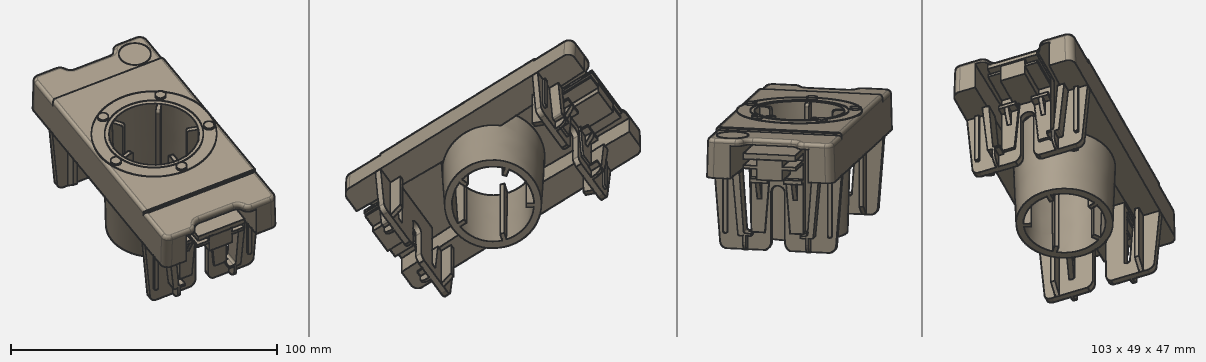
import cadquery as cq
import math

LENGTH = 103.0
WIDTH = 49.0
HEIGHT = 47.0

BODY_BOTTOM = 29.9
END_TOP = 44.9
DECK_TOP = 46.0
DECK_HALF_LENGTH = 35.6
DECK_CORNER_X = 1.2
DECK_CORNER_Y = 2.1
DRAFT_ANGLE = 1.6
CORNER_RADIUS = 3.0
EDGE_RADIUS = 1.4
DECK_END_CHAMFER = 0.4

NOTCH_DEPTH = 3.9
NOTCH_HALF_MOUTH = 13.2
NOTCH_HALF_FLOOR = 7.4
CHANNEL_HALF_MOUTH = 15.0
CHANNEL_TOP = 42.4

TUBE_RADIUS_FOOT = 18.1
TUBE_RADIUS_BODY = 19.1
BORE_RADIUS_FOOT = 15.3
BORE_RADIUS_TOP = 16.9
RING_DIAMETER = 47.0
RING_INNER_DIAMETER = 37.0
RING_TOP = 46.2
PIN_COUNT = 5
PIN_DIAMETER = 4.0
PIN_CIRCLE_RADIUS = 21.0
RIB_TIP_RADIUS = 12.5
RIB_WIDTH = 1.6
RIB_ROUND = 1.0

LABEL_DIAMETER = 12.0
LABEL_X = -43.1
LABEL_Y = 16.0
LABEL_DEPTH = 0.1

PLATE_OUTER_X = -36.7
PLATE_INNER_X = -34.3
LEG_OUTER_X = -40.7
LEG_INNER_X = -29.9
LEG_HALF_TOP = 24.4
LEG_HALF_FOOT = 22.0
LEG_CORNER_RADIUS = 2.8
ARCH_HALF_WIDTH = 2.7
ARCH_TOP = 24.8
ARCH_FLARE = 2.1
ARCH_FLARE_HEIGHT = 3.3
BEAD_OUTER_X = -37.6
BEAD_Y = 20.1
BEAD_WIDTH = 1.6
BEAD_BOTTOM = 6.0
INNER_RIB_Y = 17.0
INNER_RIB_WIDTH = 1.6
INNER_RIB_CHAMFER = 3.9
FIN_Y = 12.0
FIN_WIDTH = 1.0
FIN_RADIUS = 3.5

LATCH_HALF_WIDTH = 10.0
SLOT_BOTTOM = 6.9
SLOT_HALF_TOP = 13.9
SLOT_HALF_BOTTOM = 12.3
SLOT_ROUND = 1.0
GUIDE_HALF_TOP = 16.6
GUIDE_HALF_BOTTOM = 14.4
GUIDE_BOTTOM = 6.0
GUIDE_INNER_Y = 9.5
GUIDE_ROUND = 0.6

LATCH_TOP = 39.9
HEAD_BOTTOM = 37.7
PAD_OUTER_X = -37.6
PAD_HALF_TOP = 3.0
PAD_HALF_BOTTOM = 4.8
BLOCK_OUTER_X = -51.0
BLOCK_HALF_WIDTH = 4.9
FINGER_TOP = 35.2
FINGER_BOTTOM = 34.0
SHELF_TOP = 28.0
SHELF_BOTTOM = 26.5
SHELF_INNER_Y = 3.2
GUSSET_Y = 6.9
GUSSET_WIDTH = 1.6
GUSSET_BOTTOM = 19.8


def box(x0, x1, y0, y1, z0, z1):
    """Axis-aligned block between the given limits."""
    return cq.Workplane("XY").box(x1 - x0, y1 - y0, z1 - z0, centered=False).translate((x0, y0, z0))


def disc(diameter, z0, z1):
    """Upright round disc on the Z axis."""
    return cq.Workplane("XY", origin=(0, 0, z0)).circle(diameter / 2).extrude(z1 - z0)


def plate(outline, x0, x1):
    """Turn a closed (Y, Z) outline into a plate between two X positions."""
    return outline.extrude(x1 - x0).translate((x0, 0, 0))


def polygon_plate(points, x0, x1):
    """Plate between two X positions from straight-sided (Y, Z) points."""
    return plate(cq.Workplane("YZ").polyline(points).close(), x0, x1)


def web(points, y, width):
    """Turn a closed (X, Z) outline into an upright web centred on y."""
    outline = cq.Workplane("XZ", origin=(0, y, 0)).polyline(points).close()
    return outline.extrude(width / 2, both=True)


def both_sides(shape):
    """Add the mirror image across the XZ plane."""
    return shape.union(shape.mirror("XZ"))


def both_ends(shape):
    """Add the mirror image across the YZ plane."""
    return shape.union(shape.mirror("YZ"))


def drafted_block(top):
    """Block with drafted long sides and rounded upright corners."""
    half_bottom = WIDTH / 2
    half_top = half_bottom - (top - BODY_BOTTOM) * math.tan(math.radians(DRAFT_ANGLE))
    section = [(-half_bottom, BODY_BOTTOM), (half_bottom, BODY_BOTTOM), (half_top, top), (-half_top, top)]
    block = polygon_plate(section, -LENGTH / 2, LENGTH / 2)
    return block.edges("not(|X or |Y)").fillet(CORNER_RADIUS)


def end_notch():
    """Notch at the -X end; each flank is an S of two equal arcs."""
    mouth_x = -LENGTH / 2
    floor_x = mouth_x + NOTCH_DEPTH
    mid_x = (mouth_x + floor_x) / 2
    mid_y = (NOTCH_HALF_MOUTH + NOTCH_HALF_FLOOR) / 2
    flank_run = NOTCH_HALF_MOUTH - NOTCH_HALF_FLOOR
    radius = (NOTCH_DEPTH**2 + flank_run**2) / (4 * NOTCH_DEPTH)
    outline = (
        cq.Workplane("XY", origin=(0, 0, BODY_BOTTOM))
        .moveTo(mouth_x, NOTCH_HALF_MOUTH)
        .radiusArc((mid_x, mid_y), -radius)
        .radiusArc((floor_x, NOTCH_HALF_FLOOR), radius)
        .lineTo(floor_x, -NOTCH_HALF_FLOOR)
        .radiusArc((mid_x, -mid_y), radius)
        .radiusArc((mouth_x, -NOTCH_HALF_MOUTH), -radius)
        .close()
    )
    return outline.extrude(END_TOP - BODY_BOTTOM)


def end_channel():
    """Open pocket under the top plate, from the -X end to the middle, narrowing inwards."""
    mouth_x = -LENGTH / 2
    half_waist = CHANNEL_HALF_MOUTH - LENGTH / 2 * math.tan(math.radians(DRAFT_ANGLE))
    points = [
        (mouth_x, -CHANNEL_HALF_MOUTH),
        (0, -half_waist),
        (0, half_waist),
        (mouth_x, CHANNEL_HALF_MOUTH),
    ]
    outline = cq.Workplane("XY", origin=(0, 0, BODY_BOTTOM)).polyline(points).close()
    return outline.extrude(CHANNEL_TOP - BODY_BOTTOM)


base = drafted_block(END_TOP).cut(both_ends(end_notch()))
base = base.faces(">Z").edges().fillet(EDGE_RADIUS)
deck_outline = box(-DECK_HALF_LENGTH, DECK_HALF_LENGTH, -WIDTH / 2, WIDTH / 2, BODY_BOTTOM, DECK_TOP)
deck_outline = deck_outline.edges("|Z").chamfer(DECK_CORNER_Y, DECK_CORNER_X)
deck_outline = deck_outline.faces(">Z").edges("|Y").chamfer(DECK_END_CHAMFER)
deck = drafted_block(DECK_TOP).faces(">Z").edges().fillet(EDGE_RADIUS).intersect(deck_outline)
label = disc(LABEL_DIAMETER, END_TOP - LABEL_DEPTH, END_TOP).translate((LABEL_X, LABEL_Y, 0))
body = base.union(deck).cut(both_ends(end_channel())).cut(label)


def cone(radius_foot, radius_top, top):
    """Solid cone frustum on the Z axis, standing on Z = 0."""
    section = [(0, 0), (radius_foot, 0), (radius_top, top), (0, top)]
    return cq.Workplane("XZ").polyline(section).close().revolve(360, (0, 0, 0), (0, 1, 0))


tube_slope = (TUBE_RADIUS_BODY - TUBE_RADIUS_FOOT) / BODY_BOTTOM
tube = cone(TUBE_RADIUS_FOOT, TUBE_RADIUS_FOOT + tube_slope * CHANNEL_TOP, CHANNEL_TOP)
bore = cone(BORE_RADIUS_FOOT, BORE_RADIUS_TOP, DECK_TOP)
ring_bottom = DECK_TOP - EDGE_RADIUS
ring = disc(RING_DIAMETER, ring_bottom, RING_TOP)
ring_recess = disc(RING_INNER_DIAMETER, DECK_TOP, HEIGHT)

rib_root = (TUBE_RADIUS_FOOT + BORE_RADIUS_FOOT) / 2
rib = box(RIB_TIP_RADIUS, rib_root, -RIB_WIDTH / 2, RIB_WIDTH / 2, 0, DECK_TOP)
rib = rib.edges("|Y and <X and >Z").fillet(RIB_ROUND)
pin = disc(PIN_DIAMETER, DECK_TOP, HEIGHT).translate((PIN_CIRCLE_RADIUS, 0, 0))

result = body.union(tube).union(ring).cut(ring_recess).cut(bore)
for index in range(PIN_COUNT):
    angle = index * 360 / PIN_COUNT
    for item in (rib, pin):
        result = result.union(item.rotate((0, 0, 0), (0, 0, 1), angle))


def leg_plate():
    """Tapered plate with rounded lower corners and a central arch."""
    outline = [
        (-LEG_HALF_TOP, BODY_BOTTOM),
        (LEG_HALF_TOP, BODY_BOTTOM),
        (LEG_HALF_FOOT, 0),
        (-LEG_HALF_FOOT, 0),
    ]
    panel = polygon_plate(outline, PLATE_OUTER_X, PLATE_INNER_X)
    panel = panel.edges("|X and <Z").fillet(LEG_CORNER_RADIUS)
    return panel.cut(leg_arch())


def leg_arch():
    """Opening in the middle of the plate, round at the top and flared at the foot."""
    spring = ARCH_TOP - ARCH_HALF_WIDTH
    flare_radius = (ARCH_FLARE**2 + ARCH_FLARE_HEIGHT**2) / (2 * ARCH_FLARE)
    foot_y = ARCH_HALF_WIDTH + ARCH_FLARE
    arch = (
        cq.Workplane("YZ")
        .moveTo(-foot_y, 0)
        .lineTo(foot_y, 0)
        .radiusArc((ARCH_HALF_WIDTH, ARCH_FLARE_HEIGHT), flare_radius)
        .lineTo(ARCH_HALF_WIDTH, spring)
        .threePointArc((0, ARCH_TOP), (-ARCH_HALF_WIDTH, spring))
        .lineTo(-ARCH_HALF_WIDTH, ARCH_FLARE_HEIGHT)
        .radiusArc((-foot_y, 0), flare_radius)
        .close()
    )
    return plate(arch, PLATE_OUTER_X, PLATE_INNER_X)


def latch_slot(rounded_corners):
    """Slot on the +Y side of the latch, narrowing down to an end with the selected corners rounded."""
    points = [
        (LATCH_HALF_WIDTH, BODY_BOTTOM),
        (SLOT_HALF_TOP, BODY_BOTTOM),
        (SLOT_HALF_BOTTOM, SLOT_BOTTOM),
        (LATCH_HALF_WIDTH, SLOT_BOTTOM),
    ]
    slot = polygon_plate(points, LEG_OUTER_X, PLATE_INNER_X)
    return slot.edges("|X").edges("<Z").edges(rounded_corners).fillet(SLOT_ROUND)


def outer_bead():
    """Low upright bead on the outside of the plate, with a round lower end."""
    radius = BEAD_WIDTH / 2
    outline = (
        cq.Workplane("YZ")
        .moveTo(BEAD_Y - radius, BODY_BOTTOM)
        .lineTo(BEAD_Y - radius, BEAD_BOTTOM + radius)
        .threePointArc((BEAD_Y, BEAD_BOTTOM), (BEAD_Y + radius, BEAD_BOTTOM + radius))
        .lineTo(BEAD_Y + radius, BODY_BOTTOM)
        .close()
    )
    return plate(outline, BEAD_OUTER_X, PLATE_OUTER_X)


def guide_rib():
    """Slanted rib along the slot, closing under its lower end."""
    points = [
        (LATCH_HALF_WIDTH, BODY_BOTTOM),
        (GUIDE_HALF_TOP, BODY_BOTTOM),
        (GUIDE_HALF_BOTTOM, GUIDE_BOTTOM),
        (GUIDE_INNER_Y, GUIDE_BOTTOM),
        (GUIDE_INNER_Y, SLOT_BOTTOM),
        (LATCH_HALF_WIDTH, SLOT_BOTTOM),
    ]
    guide = polygon_plate(points, LEG_OUTER_X, PLATE_OUTER_X)
    return guide.edges("|X").edges("<Z").edges(">Y").fillet(GUIDE_ROUND).cut(latch_slot(">Y"))


def foot_fin():
    """Thin fin below the guide rib with a rounded outer corner."""
    half = FIN_WIDTH / 2
    fin = box(LEG_OUTER_X, PLATE_OUTER_X, FIN_Y - half, FIN_Y + half, 0, SLOT_BOTTOM)
    return fin.edges("|Y and <X and <Z").fillet(FIN_RADIUS)


def inner_rib():
    """Stiffening rib behind the plate with a chamfered foot."""
    side = [
        (PLATE_INNER_X, 0),
        (LEG_INNER_X, INNER_RIB_CHAMFER),
        (LEG_INNER_X, BODY_BOTTOM),
        (PLATE_INNER_X, BODY_BOTTOM),
    ]
    return web(side, INNER_RIB_Y, INNER_RIB_WIDTH)


def latch_half():
    """+Y half of the spring latch between the slots."""
    stem = box(PLATE_OUTER_X, PLATE_INNER_X, 0, LATCH_HALF_WIDTH, BODY_BOTTOM, LATCH_TOP)
    head = box(-LENGTH / 2, PLATE_OUTER_X, 0, LATCH_HALF_WIDTH, HEAD_BOTTOM, LATCH_TOP)
    block = box(BLOCK_OUTER_X, PLATE_OUTER_X, 0, BLOCK_HALF_WIDTH, BODY_BOTTOM, HEAD_BOTTOM)
    finger = box(BLOCK_OUTER_X, PLATE_OUTER_X, 0, LATCH_HALF_WIDTH, FINGER_BOTTOM, FINGER_TOP)
    pad_points = [
        (PAD_HALF_BOTTOM, SLOT_BOTTOM),
        (LATCH_HALF_WIDTH, SLOT_BOTTOM),
        (LATCH_HALF_WIDTH, HEAD_BOTTOM),
        (PAD_HALF_TOP, HEAD_BOTTOM),
        (PAD_HALF_TOP, BODY_BOTTOM),
    ]
    pad = polygon_plate(pad_points, PAD_OUTER_X, PLATE_OUTER_X)
    shelf = box(LEG_OUTER_X, PLATE_OUTER_X, SHELF_INNER_Y, LATCH_HALF_WIDTH, SHELF_BOTTOM, SHELF_TOP)
    gusset_side = [(LEG_OUTER_X, SHELF_BOTTOM), (PAD_OUTER_X, SHELF_BOTTOM), (PAD_OUTER_X, GUSSET_BOTTOM)]
    gusset = web(gusset_side, GUSSET_Y, GUSSET_WIDTH)
    return stem.union(head).union(block).union(finger).union(pad).union(shelf).union(gusset)


leg_half = guide_rib().union(outer_bead()).union(foot_fin()).union(inner_rib()).union(latch_half())
leg = leg_plate().cut(both_sides(latch_slot("|X")))
leg = leg.union(both_sides(leg_half))
result = result.union(both_ends(leg))